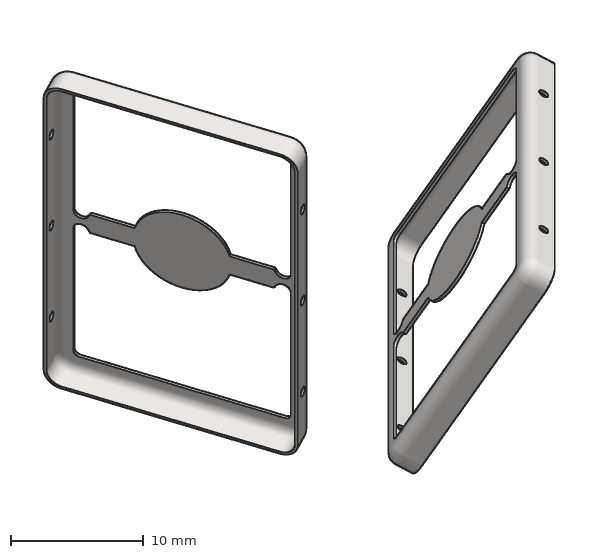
import cadquery as cq
import math

width = 20.7
depth = 2.5
height = 32.9
wall = 0.25
corner_radius = 1.5
edge_radius = 1.0

rim = 1.5
opening_radius = 0.5

disc_diameter = 8.0
bar_height = 2.0
neck_height = 0.7
notch_radius = 0.63
notch_slope = 60

hole_diameter = 0.8
hole_pitch = 10.0
hole_setback = 1.0

back_y = depth / 2
floor_y = back_y - wall
opening_width = width - 2 * rim
opening_height = height - 2 * rim


def plate_plane(y):
    """Plane facing +Y at the given depth, with Z up."""
    return cq.Workplane(cq.Plane(origin=(0, y, 0), xDir=(-1, 0, 0), normal=(0, 1, 0)))


def rounded_block(inset, back):
    """Block from the open face to `back`, offset inwards from the outer form by `inset`."""
    return (
        plate_plane(-depth / 2)
        .rect(width - 2 * inset, height - 2 * inset)
        .extrude(back + depth / 2)
        .edges("|Y")
        .fillet(corner_radius - inset)
        .faces(">Y")
        .edges()
        .fillet(edge_radius - inset)
    )


def floor_opening():
    return (
        plate_plane(floor_y - wall)
        .rect(opening_width, opening_height)
        .extrude(3 * wall)
        .edges("|Y")
        .fillet(opening_radius)
    )


def notch(side_x, side_z):
    """Notch beside the opening's edge: a round bottom and a straight flank; sides are -1 or 1."""
    slope = math.radians(notch_slope)
    edge_x = opening_width / 2
    bar_z = bar_height / 2
    center_x = edge_x - notch_radius
    center_z = neck_height / 2 + notch_radius
    flank_x = center_x - notch_radius * math.sin(slope)
    flank_z = center_z - notch_radius * math.cos(slope)
    corner_x = flank_x - (bar_z - flank_z) / math.tan(slope)

    def point(x, z):
        return (-side_x * x, side_z * z)

    return (
        plate_plane(floor_y)
        .moveTo(*point(edge_x, bar_z))
        .lineTo(*point(edge_x, center_z))
        .threePointArc(point(center_x, neck_height / 2), point(flank_x, flank_z))
        .lineTo(*point(corner_x, bar_z))
        .close()
        .extrude(wall)
    )


def disc_and_bar():
    bar = plate_plane(floor_y).rect(opening_width, bar_height).extrude(wall)
    for side_x in (-1, 1):
        for side_z in (-1, 1):
            bar = bar.cut(notch(side_x, side_z))
    disc = plate_plane(floor_y).circle(disc_diameter / 2).extrude(wall)
    return bar.union(disc)


def pin_holes():
    return (
        cq.Workplane("YZ", origin=(-width, 0, 0))
        .pushPoints([(hole_setback - depth / 2, i * hole_pitch) for i in (-1, 0, 1)])
        .circle(hole_diameter / 2)
        .extrude(2 * width)
    )


tray = rounded_block(0, back_y).cut(rounded_block(wall, floor_y))
result = tray.cut(floor_opening()).union(disc_and_bar()).cut(pin_holes())